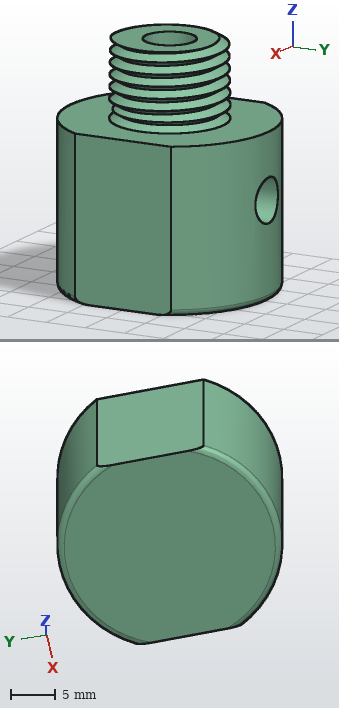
import cadquery as cq
import math

total_height = 29.08
body_height = 19.8
body_diameter = 25.4
across_flats = 22.22
bottom_fillet = 0.79

thread_length = total_height - body_height
thread_base_radius = 6.9
thread_top_radius = 6.72
thread_pitch = 1.41
crest_width = 0.03
flank_angle = 30.0
crest_drop = 0.05
relief_height = 0.67

bore_diameter = 6.1
port_diameter = 5.35
port_height = 11.8
drill_tip_angle = 118.0

groove_width = thread_pitch - crest_width
groove_depth = groove_width / 2 / math.tan(math.radians(flank_angle))
taper_slope = (thread_base_radius - thread_top_radius) / thread_length
taper_angle = math.degrees(math.atan(taper_slope))
cutter_overhang = 0.58


def crest_radius(z):
    """Radius of the thread crests at height z."""
    return thread_base_radius - taper_slope * (z - body_height)


def groove_profile(z):
    """V groove in the XZ plane with its root at height z."""
    crest = crest_radius(z)
    half_width = groove_width / 2
    return cq.Workplane("XZ").polyline([
        (crest - groove_depth, z),
        (crest, z + half_width),
        (crest + cutter_overhang, z + half_width),
        (crest + cutter_overhang, z - half_width),
        (crest, z - half_width),
    ]).close()


def make_body():
    """Round body with a rounded bottom edge and two flats facing X."""
    body = cq.Workplane("XY").circle(body_diameter / 2).extrude(body_height)
    body = body.faces("<Z").edges().fillet(bottom_fillet)
    flats = cq.Workplane("XY").rect(across_flats, body_diameter).extrude(body_height)
    return body.intersect(flats)


def make_thread():
    """Tapered stud cut by a right-hand helical groove that runs into a ring groove."""
    stud = cq.Workplane("XZ").polyline([
        (0, body_height),
        (thread_base_radius, body_height),
        (thread_top_radius, total_height),
        (0, total_height),
    ]).close().revolve(360, (0, 0, 0), (0, 1, 0))

    top_root = total_height - crest_drop + thread_pitch / 4 + thread_pitch / 2
    turns = math.floor((top_root - body_height - relief_height) / thread_pitch)
    start = top_root - (turns + 1) * thread_pitch
    helix_height = (turns + 2) * thread_pitch
    helix = cq.Wire.makeHelix(
        thread_pitch, helix_height, crest_radius(start), cq.Vector(0, 0, start),
        cq.Vector(0, 0, 1), -taper_angle,
    )
    helical_groove = groove_profile(start).sweep(cq.Workplane(helix), isFrenet=True)
    ring_groove = groove_profile(body_height + relief_height).revolve(360, (0, 0, 0), (0, 1, 0))
    collar = stud.intersect(
        cq.Workplane("XY").workplane(offset=body_height)
        .circle(body_diameter / 2).extrude(relief_height)
    )
    return stud.cut(helical_groove).union(collar).cut(ring_groove)


def make_bore():
    """Axial bore from the top face to the port axis, with a drill tip inside the port."""
    radius = bore_diameter / 2
    tip_depth = radius / math.tan(math.radians(drill_tip_angle / 2))
    return cq.Workplane("XZ").polyline([
        (0, port_height - tip_depth),
        (radius, port_height),
        (radius, total_height),
        (0, total_height),
    ]).close().revolve(360, (0, 0, 0), (0, 1, 0))


def make_port():
    """Side port from the +Y side to the far wall of the axial bore."""
    length = body_diameter / 2 + bore_diameter / 2
    return (
        cq.Workplane("XZ", origin=(0, body_diameter / 2, port_height))
        .circle(port_diameter / 2).extrude(length)
    )


result = make_body().union(make_thread()).cut(make_bore()).cut(make_port())